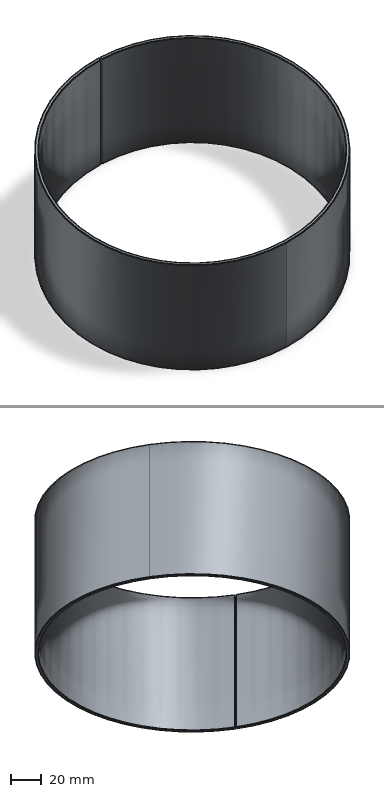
import cadquery as cq

outer_diameter = 205.0
wall_thickness = 2.5
height = 100.0
rim_chamfer = 0.5
slit_width = 1.2
slit_start = 0.5

outer_radius = outer_diameter / 2
inner_radius = outer_radius - wall_thickness

ring = (
    cq.Workplane("XY")
    .circle(outer_radius)
    .circle(inner_radius)
    .extrude(height)
    .faces("|Z")
    .edges()
    .chamfer(rim_chamfer)
)

slit = (
    cq.Workplane("XY")
    .box(outer_radius, slit_width, height, centered=False)
    .translate((-outer_radius, slit_start, 0))
)

result = ring.cut(slit)